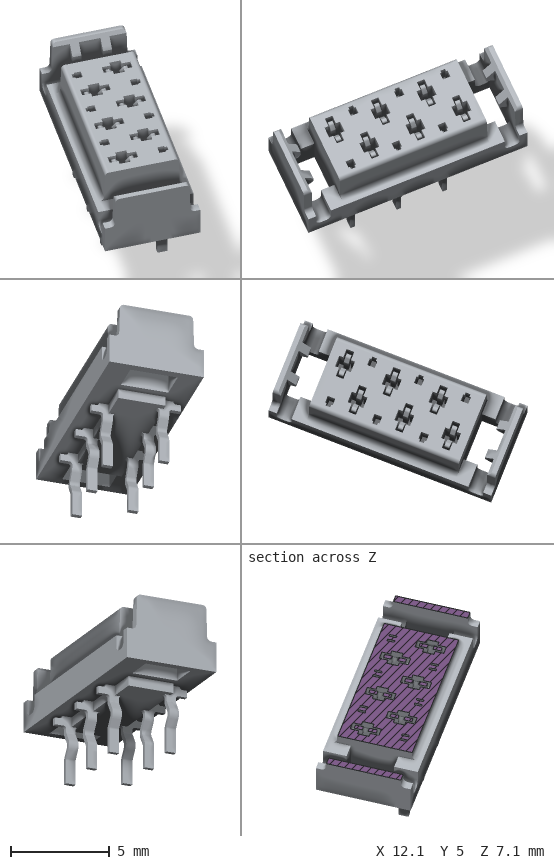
import cadquery as cq
import math


length = 12.09
width = 5.0
height = 3.5
overall_height = 7.1
shoulder_z = 1.6
upper_half_bottom = 2.0
upper_half_top = 1.93
top_radius = 0.2
shoulder_radius = 0.24
block_half_length = 4.06

wall_thickness = 0.44
wall_chamfer = 0.17
slot_width = 0.81
slot_floor_z = 0.69
slot_radius = 0.29
window_half_width = 1.26
wall_inner_x = length / 2 - wall_thickness

hook_reach = 0.48
hook_width = 0.47
hook_spacing = 1.61
hook_nose_height = 0.33
hook_underside_drop = 0.31

plate_length = 7.24
plate_width = 2.51
plate_thickness = 0.52

contact_count = 6
reversed_pins = (2, 3)
pitch = 1.27
contact_thickness = 0.25
pin_row_y = 1.29
pin_width = 0.52
pin_bottom_z = height - overall_height
foot_tip_y = 2.18
foot_neck_y = 1.77
foot_top_z = -0.15
foot_radius = 0.15

kink_top_z = -0.83
kink_middle_z = -1.6
bend_angle = math.radians(32)
bend_radius = 0.28
apex_radius = 0.4

socket_row_y = 0.75
socket_depth = 1.81
socket_slot_width = 0.41
socket_slot_length = 1.5
socket_cross_width = 0.85
socket_cross_length = 0.58
leg_hole_inner_y = 1.11
leg_hole_length = 0.36
leg_groove_length = 0.5
leg_depth = 0.97

tine_inner = 0.15
tine_outer = 0.59
tine_top_depth = 0.15
tine_lead_width = 0.24
tine_lead_height = 0.25
tine_corner_radius = 0.08
tine_lead_radius = 0.15
tine_tip_radius = 0.08

floor_z = height - socket_depth


def box(x_size, y_size, z_bottom, z_top, x=0.0, y=0.0):
    """Upright block centred on (x, y)."""
    block = cq.Workplane("XY", origin=(x, y, z_bottom)).rect(x_size, y_size)
    return block.extrude(z_top - z_bottom)


def make_housing():
    """Stepped cross-section along the full length, narrowing towards the top."""
    half = width / 2
    outline = [
        (-half, 0),
        (half, 0),
        (half, shoulder_z),
        (upper_half_bottom, shoulder_z),
        (upper_half_top, height),
        (-upper_half_top, height),
        (-upper_half_bottom, shoulder_z),
        (-half, shoulder_z),
    ]
    body = cq.Workplane("YZ").polyline(outline).close().extrude(length / 2, both=True)
    body = body.edges("|X and >Z").fillet(top_radius)
    for side in (-1, 1):
        corner = cq.NearestToPointSelector((0, side * upper_half_bottom, shoulder_z))
        body = body.edges("|X").edges(corner).fillet(shoulder_radius)
    return body


def make_end_gap():
    """Space freeing the +X end wall: step, slot, window and wall chamfer."""
    slot_x = wall_inner_x - slot_width / 2
    gap_x = (block_half_length + wall_inner_x) / 2
    gap_length = wall_inner_x - block_half_length
    gap = box(gap_length, width, shoulder_z, height, gap_x)
    slot = box(slot_width, width, slot_floor_z, height, slot_x)
    slot = slot.edges("|Y and <Z").fillet(slot_radius)
    window = box(gap_length, 2 * window_half_width, 0, height, gap_x)
    chamfer_outline = [
        (wall_inner_x, height),
        (wall_inner_x + wall_chamfer, height),
        (wall_inner_x, height - wall_chamfer),
    ]
    chamfer = cq.Workplane("XZ").polyline(chamfer_outline).close().extrude(width / 2, both=True)
    return gap.union(slot).union(window).union(chamfer)


def make_hooks():
    """Two latch hooks on the inside of the +X end wall."""
    hook_top_z = height - wall_chamfer
    nose_x = wall_inner_x - hook_reach
    nose_top_z = hook_top_z - hook_reach
    nose_bottom_z = nose_top_z - hook_nose_height
    outline = [
        (wall_inner_x, hook_top_z),
        (nose_x, nose_top_z),
        (nose_x, nose_bottom_z),
        (wall_inner_x, nose_bottom_z - hook_underside_drop),
    ]
    hook = cq.Workplane("XZ").polyline(outline).close().extrude(hook_width / 2, both=True)
    upper = hook.translate((0, hook_spacing / 2, 0))
    lower = hook.translate((0, -hook_spacing / 2, 0))
    return upper.union(lower)


def make_openings():
    """Openings of a contact at X = 0: cross-shaped socket and T-shaped leg hole."""
    slot = box(socket_slot_width, socket_slot_length, floor_z, height, 0, socket_row_y)
    cross = box(socket_cross_width, socket_cross_length, floor_z, height, 0, socket_row_y)
    hole_y = -leg_hole_inner_y - leg_hole_length / 2
    groove_y = -leg_hole_inner_y - leg_groove_length / 2
    hole = box(socket_slot_width, leg_hole_length, floor_z, height, 0, hole_y)
    groove = box(contact_thickness, leg_groove_length, floor_z, height, 0, groove_y)
    return slot.union(cross).union(hole).union(groove)


def make_tines():
    """Facing spring tines with sloped lead-ins, standing on the socket floor."""
    top_z = height - tine_top_depth
    outline = [
        (tine_inner, floor_z),
        (tine_outer, floor_z),
        (tine_outer, top_z),
        (tine_inner + tine_lead_width, top_z),
        (tine_inner, top_z - tine_lead_height),
    ]
    tine = cq.Workplane("YZ").polyline(outline).close().extrude(contact_thickness / 2, both=True)
    tine = tine.edges("|X and >Z and >Y").fillet(tine_corner_radius)
    lead_edge = cq.NearestToPointSelector((0, tine_inner + tine_lead_width, top_z))
    tine = tine.edges("|X").edges(lead_edge).fillet(tine_lead_radius)
    tip_edge = cq.NearestToPointSelector((0, tine_inner, top_z - tine_lead_height))
    tine = tine.edges("|X").edges(tip_edge).fillet(tine_tip_radius)
    pair = tine.union(tine.mirror("XZ"))
    return pair.translate((0, socket_row_y, 0))


def make_foot():
    """Foot below the housing with the straight top of the pin, in the -Y row."""
    pin_outer = pin_row_y + pin_width / 2
    pin_inner = pin_row_y - pin_width / 2
    arc_inset = foot_radius * (1 - math.sqrt(0.5))
    fillet_end_z = -plate_thickness - foot_radius
    arc_mid_z = -plate_thickness - arc_inset
    foot = (
        cq.Workplane("YZ")
        .moveTo(-foot_neck_y, 0)
        .threePointArc(
            (-foot_neck_y - arc_inset, foot_top_z + arc_inset),
            (-foot_neck_y - foot_radius, foot_top_z),
        )
        .lineTo(-foot_tip_y, foot_top_z)
        .lineTo(-foot_tip_y, -plate_thickness)
        .lineTo(-pin_outer - foot_radius, -plate_thickness)
        .threePointArc((-pin_outer - arc_inset, arc_mid_z), (-pin_outer, fillet_end_z))
        .lineTo(-pin_outer, kink_top_z)
        .lineTo(-pin_inner, kink_top_z)
        .lineTo(-pin_inner, fillet_end_z)
        .threePointArc((-pin_inner + arc_inset, arc_mid_z), (-pin_inner + foot_radius, -plate_thickness))
        .lineTo(-pin_inner + foot_radius, 0)
        .close()
    )
    return foot.extrude(contact_thickness / 2, both=True)


def make_kinked_pin():
    """Lower pin in the -Y row, swept along a centreline that kinks towards +X."""
    bend_x = bend_radius * (1 - math.cos(bend_angle))
    bend_z = bend_radius * math.sin(bend_angle)
    apex_x = apex_radius * (1 - math.cos(bend_angle))
    apex_z = apex_radius * math.sin(bend_angle)
    incline_z = kink_top_z - kink_middle_z - bend_z - apex_z
    incline_end_x = bend_x + incline_z * math.tan(bend_angle)
    kink_bottom_z = 2 * kink_middle_z - kink_top_z
    half_angle = bend_angle / 2
    mid_x = bend_radius * (1 - math.cos(half_angle))
    mid_z = bend_radius * math.sin(half_angle)
    centreline = (
        cq.Workplane("XZ", origin=(0, -pin_row_y, 0))
        .moveTo(0, kink_top_z)
        .threePointArc((mid_x, kink_top_z - mid_z), (bend_x, kink_top_z - bend_z))
        .lineTo(incline_end_x, kink_middle_z + apex_z)
        .threePointArc((incline_end_x + apex_x, kink_middle_z), (incline_end_x, kink_middle_z - apex_z))
        .lineTo(bend_x, kink_bottom_z + bend_z)
        .threePointArc((mid_x, kink_bottom_z + mid_z), (0, kink_bottom_z))
        .lineTo(0, pin_bottom_z)
    )
    section = cq.Workplane("XY", origin=(0, -pin_row_y, kink_top_z)).rect(contact_thickness, pin_width)
    return section.sweep(centreline)


def make_leg():
    """Contact leg standing in the leg hole below the top face."""
    leg_y = -leg_hole_inner_y - leg_groove_length / 2
    return box(contact_thickness, leg_groove_length, floor_z, height - leg_depth, 0, leg_y)


def place(shape, index):
    """Move a shape to its pitch position; odd positions are mirrored in Y."""
    placed = shape.mirror("XZ") if index % 2 else shape
    return placed.translate(((index - (contact_count - 1) / 2) * pitch, 0, 0))


end_gap = make_end_gap()
hooks = make_hooks()
result = make_housing().cut(end_gap).cut(end_gap.mirror("YZ"))
result = result.union(hooks).union(hooks.mirror("YZ"))
result = result.union(box(plate_length, plate_width, -plate_thickness, 0))

openings = make_openings()
inner_contact = make_tines().union(make_leg())
foot = make_foot()
pin = make_kinked_pin()
for index in range(contact_count):
    pin_shape = pin.mirror("YZ") if index in reversed_pins else pin
    result = result.cut(place(openings, index))
    result = result.union(place(inner_contact, index))
    result = result.union(place(foot.union(pin_shape), index))